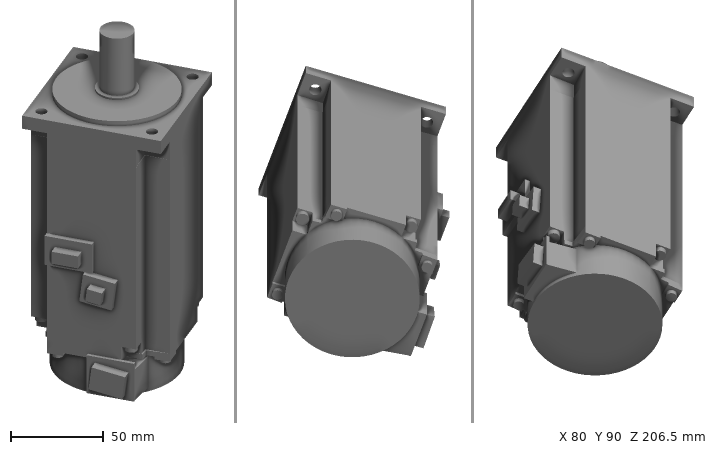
import cadquery as cq
import math


total_height = 206.5
boss_top = 171.0
pilot_top = 169.7
flange_top = 166.6
flange_bottom = 158.5
front_bell_bottom = 147.2
rear_bell_top = 26.6
rear_bell_bottom = 23.5
foot_bottom = 21.7

side = 80.0
half_side = side / 2
arm_half_width = 25.6
front_bell_root = 25.2
rear_bell_root = 26.6

shaft_diameter = 19.0
boss_diameter = 24.0
pilot_diameter = 70.0
rear_cover_diameter = 72.9
mount_hole_offset = 31.8
mount_hole_diameter = 6.6

pocket_inner = 17.1
pocket_depth = 8.7
pocket_top = 34.0
bell_ledge = 0.2
bolt_head_diameter = 7.0
bolt_head_height = 3.0
foot_inner = 16.3
foot_depth = 8.7
screw_diameter = 6.0
screw_height = 2.7

connector_tilt = 7
plug_length = 5.5

upper_base_center = (-12.2, 87.3)
upper_base_size = (27.3, 18.0)
upper_base_depth = 3.0
upper_plug_center = (-12.2, 87.0)
upper_plug_size = (15.3, 7.5)

middle_center = (5.0, 68.0)
middle_base_size = (18.5, 17.1)
middle_base_depth = 4.5
middle_plug_size = (8.7, 7.6)

lower_plug_center = (11.5, 14.2)
lower_plug_size = (19.5, 14.0)
lower_base_depth = 1.9
lower_base_left = -2.0
lower_base_right = 25.2
lower_block_rear_right = 27.0
lower_base_bottom = 2.5
lower_base_top = 26.0


def box_between(x_range, y_range, z_range):
    """Box spanning the given (low, high) ranges."""
    lengths = [high - low for low, high in (x_range, y_range, z_range)]
    corner = (x_range[0], y_range[0], z_range[0])
    return cq.Workplane("XY").box(*lengths, centered=False).translate(corner)


def cylinder(diameter, bottom, top, center=(0, 0)):
    """Upright cylinder between two levels."""
    base = cq.Workplane("XY", origin=(*center, bottom))
    return base.circle(diameter / 2).extrude(top - bottom)


def four_around(shape):
    """The shape repeated on all four sides of the motor."""
    copies = shape
    for turn in range(1, 4):
        copies = copies.union(shape.rotate((0, 0, 0), (0, 0, 1), 90 * turn))
    return copies


def notched_square(bottom, top, tip_half_width, root_half_width):
    """Square block with a corner notch between its arms, straight or slightly tapered."""
    outline = []
    for turn in range(4):
        angle = math.radians(90 * turn)
        for x, y in (
            (half_side, -tip_half_width),
            (half_side, tip_half_width),
            (root_half_width, root_half_width),
        ):
            outline.append((
                x * math.cos(angle) - y * math.sin(angle),
                x * math.sin(angle) + y * math.cos(angle),
            ))
    return cq.Workplane("XY", origin=(0, 0, bottom)).polyline(outline).close().extrude(top - bottom)


def connector_block(center, size, depth, tilt=0):
    """Rectangular block growing outwards from the -Y face, tilted clockwise."""
    block = cq.Workplane("XZ", origin=(center[0], -half_side, center[1]))
    return block.transformed(rotate=(0, 0, -tilt)).rect(*size).extrude(depth)


flange = box_between((-half_side, half_side), (-half_side, half_side), (flange_bottom, flange_top))
flange = (
    flange.faces(">Z").workplane()
    .rect(2 * mount_hole_offset, 2 * mount_hole_offset, forConstruction=True)
    .vertices().hole(mount_hole_diameter)
)
pilot = cylinder(pilot_diameter, flange_top, pilot_top)
boss = cylinder(boss_diameter, pilot_top, boss_top)
shaft = cylinder(shaft_diameter, boss_top, total_height)

front_bell = notched_square(front_bell_bottom, flange_bottom, arm_half_width, front_bell_root)
middle = notched_square(rear_bell_top, front_bell_bottom, arm_half_width, arm_half_width)
rear_bell = notched_square(foot_bottom, rear_bell_top, arm_half_width, rear_bell_root)

foot = box_between(
    (-half_side, -foot_inner),
    (-half_side, foot_depth - half_side),
    (foot_bottom, rear_bell_bottom),
)
plate_zone = box_between(
    (-half_side, half_side), (-half_side, half_side), (rear_bell_bottom, rear_bell_top)
)
rear_bell = rear_bell.intersect(plate_zone.union(four_around(foot)))

pocket_floor = pocket_depth - half_side
middle_pocket = box_between(
    (pocket_inner, half_side), (-half_side, pocket_floor), (rear_bell_top, pocket_top)
)
bell_pocket = box_between(
    (pocket_inner, half_side),
    (-half_side, pocket_floor - bell_ledge),
    (foot_bottom, rear_bell_top),
)
middle = middle.cut(four_around(middle_pocket))
rear_bell = rear_bell.cut(four_around(bell_pocket))

bolt_head = cylinder(
    bolt_head_diameter,
    pocket_top - bolt_head_height,
    pocket_top,
    ((pocket_inner + arm_half_width) / 2, pocket_depth / 2 - half_side),
)
screw = cylinder(
    screw_diameter,
    foot_bottom - screw_height,
    foot_bottom,
    (-(foot_inner + arm_half_width) / 2, foot_depth / 2 - half_side),
)

rear_cover = cylinder(rear_cover_diameter, 0, rear_bell_bottom)

upper_base = connector_block(upper_base_center, upper_base_size, upper_base_depth)
upper_plug = connector_block(upper_plug_center, upper_plug_size, upper_base_depth + plug_length)

middle_base = connector_block(middle_center, middle_base_size, middle_base_depth, connector_tilt)
middle_plug = connector_block(
    middle_center, middle_plug_size, middle_base_depth + plug_length, connector_tilt
)

cover_plate = box_between(
    (lower_base_left, lower_base_right),
    (-half_side - lower_base_depth, -half_side),
    (lower_base_bottom, lower_base_top),
)
rear_cover_radius = rear_cover_diameter / 2
lower_block_rear = -math.sqrt(rear_cover_radius**2 - lower_block_rear_right**2)
lower_block = (
    cq.Workplane("XY", origin=(0, 0, lower_base_bottom))
    .polyline([
        (lower_base_left, -half_side),
        (lower_base_right, -half_side),
        (lower_block_rear_right, lower_block_rear),
        (lower_base_left, lower_block_rear),
    ])
    .close()
    .extrude(foot_bottom - lower_base_bottom)
)
lower_plug = connector_block(
    lower_plug_center, lower_plug_size, lower_base_depth + plug_length, connector_tilt
)

result = flange
for piece in (
    pilot,
    boss,
    shaft,
    front_bell,
    middle,
    rear_bell,
    four_around(bolt_head),
    four_around(screw),
    rear_cover,
    upper_base,
    upper_plug,
    middle_base,
    middle_plug,
    cover_plate,
    lower_block,
    lower_plug,
):
    result = result.union(piece)